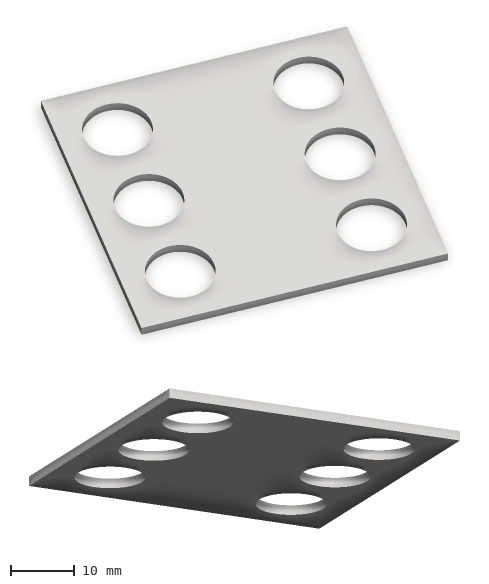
import cadquery as cq

plate_side = 50.8
plate_thickness = 1.6

hole_diameter = 11.2
holes_per_row = 3
row_count = 2
hole_pitch = 15.85
row_spacing = 2 * hole_pitch

plate = cq.Workplane("XY").box(plate_side, plate_side, plate_thickness)

result = (
    plate.faces(">Z")
    .workplane()
    .rarray(hole_pitch, row_spacing, holes_per_row, row_count)
    .hole(hole_diameter)
)